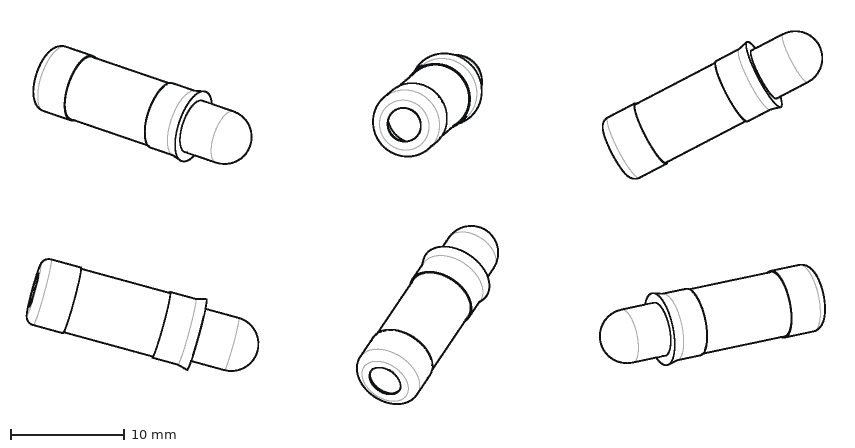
import cadquery as cq

total_length = 20.5
plunger_radius = 2.4

band_radius = 3.01
waist_radius = 2.91
rim_radius = 3.25
sleeve_length = 14.95
rear_band_end = 3.5
front_band_start = 11.68
flare_start = 14.0
rear_round_radius = 0.75

rear_hole_radius = 1.52
rear_wall = 0.18
plunger_start = rear_band_end


def axial_cylinder(radius, start, end):
    """Cylinder about the X axis between two stations."""
    return cq.Workplane("YZ").workplane(offset=start).circle(radius).extrude(end - start)


def make_sleeve():
    outline = (
        cq.Workplane("XY")
        .lineTo(0, band_radius)
        .lineTo(rear_band_end, band_radius)
        .lineTo(rear_band_end, waist_radius)
        .lineTo(front_band_start, waist_radius)
        .lineTo(front_band_start, band_radius)
        .lineTo(flare_start, band_radius)
        .lineTo(sleeve_length, rim_radius)
        .lineTo(sleeve_length, 0)
        .close()
    )
    body = outline.revolve(360, (0, 0, 0), (1, 0, 0))
    body = body.faces("<X").edges().fillet(rear_round_radius)
    rear_hole = axial_cylinder(rear_hole_radius, 0, rear_wall)
    plunger_bore = axial_cylinder(plunger_radius, rear_wall, sleeve_length)
    return body.cut(rear_hole).cut(plunger_bore)


def make_plunger():
    dome_start = total_length - plunger_radius
    shank = axial_cylinder(plunger_radius, plunger_start, dome_start)
    dome = (
        cq.Workplane("XY")
        .moveTo(dome_start, 0)
        .lineTo(dome_start, plunger_radius)
        .radiusArc((total_length, 0), plunger_radius)
        .close()
        .revolve(360, (dome_start, 0, 0), (total_length, 0, 0))
    )
    return shank.union(dome)


sleeve = make_sleeve()
plunger = make_plunger()

result = cq.Compound.makeCompound([sleeve.val(), plunger.val()])